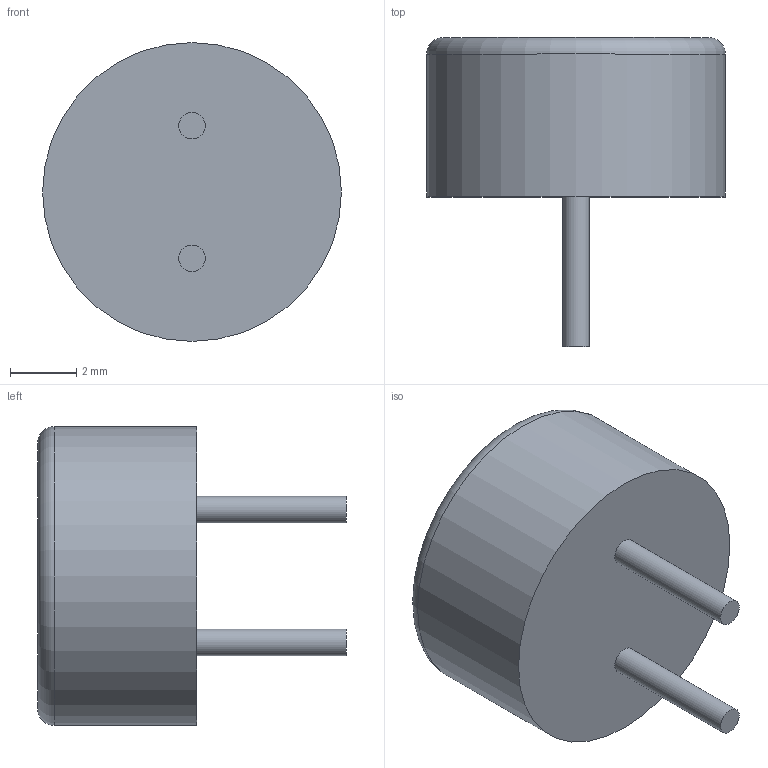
import cadquery as cq

body_diameter = 9.0
body_length = 4.8
rim_radius = 0.5
pin_diameter = 0.8
pin_length = 4.5
pin_spacing = 4.0


def make_body():
    """Round can along Y, flat base at Y = 0, with a rounded rim at its far end."""
    can = cq.Workplane("XZ").circle(body_diameter / 2).extrude(-body_length)
    return can.faces(">Y").edges().fillet(rim_radius)


def make_pins():
    """Two round leads, one above the other, reaching toward -Y from the base."""
    pin_centres = [(0, -pin_spacing / 2), (0, pin_spacing / 2)]
    return cq.Workplane("XZ").pushPoints(pin_centres).circle(pin_diameter / 2).extrude(pin_length)


result = make_body().union(make_pins())